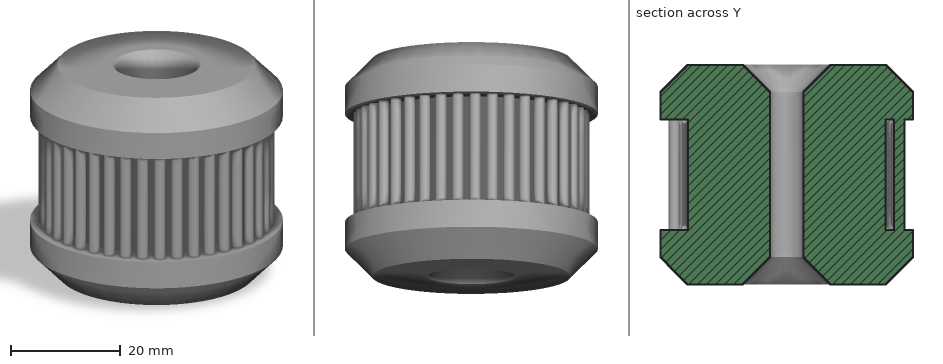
import cadquery as cq

flange_diameter = 46.0
face_diameter = 36.0
height = 40.0
rim_height = 5.0
bevel_height = 5.0
core_diameter = 36.0
pin_diameter = 2.0
pin_outer_diameter = 42.95
pin_count = 41
bore_diameter = 6.0
countersink_diameter = 16.0

half_height = height / 2
flange_inner_z = half_height - rim_height - bevel_height
pin_circle_radius = (pin_outer_diameter - pin_diameter) / 2
countersink_depth = (countersink_diameter - bore_diameter) / 2


def make_spool():
    """Core, two beveled flanges and a bore countersunk at both ends, as one revolved profile."""
    upper_outline = [
        (core_diameter / 2, flange_inner_z),
        (flange_diameter / 2, flange_inner_z),
        (flange_diameter / 2, flange_inner_z + rim_height),
        (face_diameter / 2, half_height),
        (countersink_diameter / 2, half_height),
        (bore_diameter / 2, half_height - countersink_depth),
    ]
    lower_outline = [(radius, -z) for radius, z in reversed(upper_outline)]
    profile = cq.Workplane("XZ").polyline(upper_outline + lower_outline).close()
    return profile.revolve(360, (0, 0, 0), (0, 1, 0))


def make_pins():
    """Ring of upright pins, the first on +X, spanning between the flanges."""
    return (
        cq.Workplane("XY")
        .workplane(offset=-flange_inner_z)
        .polarArray(pin_circle_radius, 0, 360, pin_count)
        .circle(pin_diameter / 2)
        .extrude(2 * flange_inner_z)
    )


result = make_spool().union(make_pins())